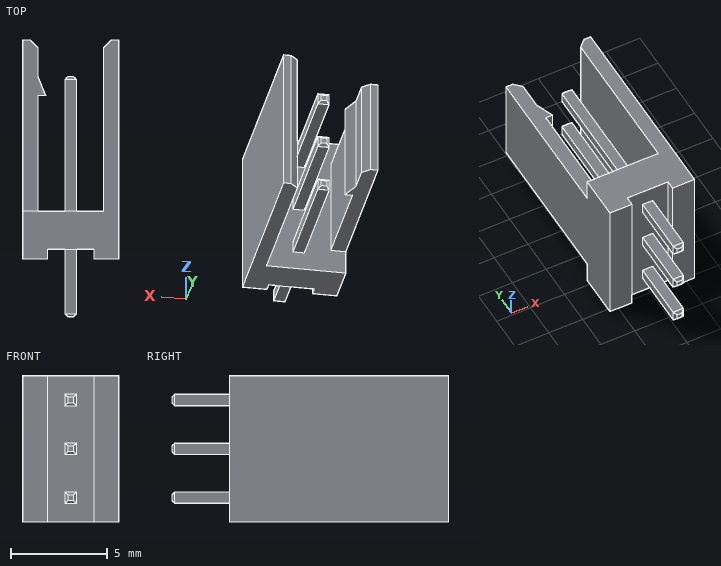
import cadquery as cq

pitch = 2.54
pin_count = 3
housing_width = 5.0
housing_depth = 11.4
housing_height = pin_count * pitch
base_depth = 2.5
half_width = housing_width / 2

groove_width = 2.4
groove_depth = 0.5

wall_thickness = 0.8
lead_in = 0.4
latch_wall_height = housing_height - pitch

hook_reach = 0.4
hook_length = 1.0
hook_seat = 8.5

pin_size = 0.6
pin_tail = 3.0
pin_length = 12.5
tip_chamfer = 0.15


def extrude_outline(points, height):
    """Extrude an XY outline along Z, centred on the housing height."""
    return cq.Workplane("XY").polyline(points).close().extrude(height / 2, both=True)


def make_base():
    base = cq.Workplane("XY").box(housing_width, base_depth, housing_height, centered=(True, False, True))
    groove = cq.Workplane("XY").box(groove_width, groove_depth, housing_height, centered=(True, False, True))
    return base.cut(groove)


def make_plain_wall():
    inner_x = half_width - wall_thickness
    outline = [
        (inner_x, 0),
        (half_width, 0),
        (half_width, housing_depth),
        (inner_x + lead_in, housing_depth),
        (inner_x, housing_depth - lead_in),
    ]
    return extrude_outline(outline, housing_height)


def make_latch_wall():
    inner_x = wall_thickness - half_width
    outline = [
        (-half_width, base_depth),
        (inner_x, base_depth),
        (inner_x, hook_seat),
        (inner_x + hook_reach, hook_seat),
        (inner_x, hook_seat + hook_length),
        (inner_x, housing_depth - lead_in),
        (inner_x - lead_in, housing_depth),
        (-half_width, housing_depth),
    ]
    return extrude_outline(outline, latch_wall_height)


def make_pin():
    return (
        cq.Workplane("XY")
        .box(pin_size, pin_length, pin_size, centered=(True, False, True))
        .faces("<Y or >Y")
        .chamfer(tip_chamfer)
        .translate((0, -pin_tail, 0))
    )


result = make_base().union(make_plain_wall()).union(make_latch_wall())
for index in range(pin_count):
    pin_z = (index - (pin_count - 1) / 2) * pitch
    result = result.union(make_pin().translate((0, 0, pin_z)))